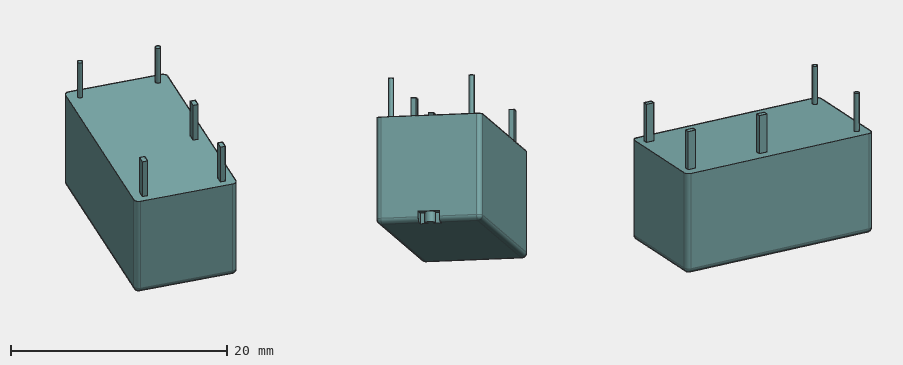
import cadquery as cq

body_length = 20.0
body_width = 10.0
body_height = 10.0
edge_radius = 0.48

pin_pitch = 2.55
pin_height = 3.8
round_pin_diameter = 0.5
flat_pin_length = 0.8
flat_pin_width = 0.5
coil_pin_x = -3.5 * pin_pitch
common_pin_x = coil_pin_x + 4 * pin_pitch
contact_pin_x = coil_pin_x + 7 * pin_pitch
pin_row_y = 1.5 * pin_pitch

notch_width = 2.0
notch_depth = 1.0
notch_height = 1.0
post_diameter = 1.0
post_setback = 0.1


def make_body():
    """Block with rounded upright edges and a rounded bottom rim."""
    block = cq.Workplane("XY").box(
        body_length, body_width, body_height, centered=(True, True, False)
    )
    return block.edges("|Z").fillet(edge_radius).faces("<Z").edges().fillet(edge_radius)


def make_notch():
    """Space cut from the lower edge of the -X end."""
    return (
        cq.Workplane("XY")
        .box(notch_depth, notch_width, notch_height, centered=(False, True, False))
        .translate((-body_length / 2, 0, 0))
    )


def make_post():
    """Round post from the bottom plane to the roof of the notch."""
    post_x = -body_length / 2 + post_setback + post_diameter / 2
    return cq.Workplane("XY").center(post_x, 0).circle(post_diameter / 2).extrude(notch_height)


def make_pins():
    """Two round pins and three rectangular pins on the top face."""
    top = cq.Workplane("XY").workplane(offset=body_height)
    round_places = [(coil_pin_x, -pin_row_y), (coil_pin_x, pin_row_y)]
    flat_places = [
        (common_pin_x, pin_row_y),
        (contact_pin_x, pin_row_y),
        (contact_pin_x, -pin_row_y),
    ]
    round_pins = top.pushPoints(round_places).circle(round_pin_diameter / 2).extrude(pin_height)
    flat_pins = (
        top.pushPoints(flat_places).rect(flat_pin_length, flat_pin_width).extrude(pin_height)
    )
    return round_pins.add(flat_pins).combine()


result = make_body().cut(make_notch()).union(make_post()).union(make_pins())